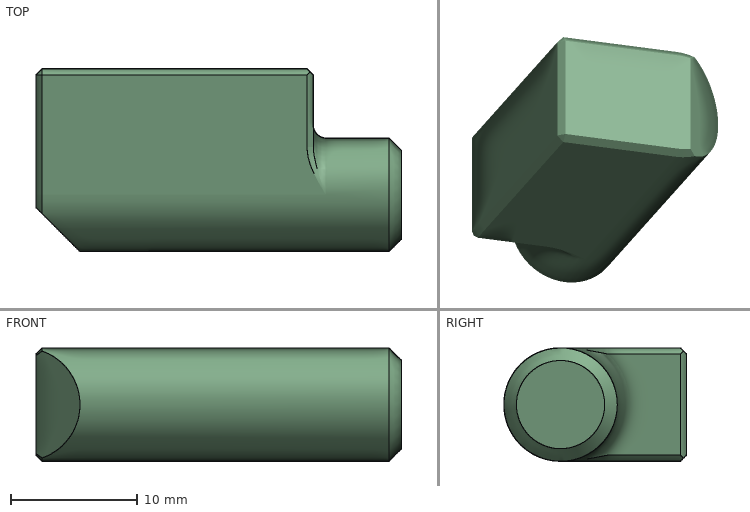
import math

import cadquery as cq

total_length = 29.0
block_length = 22.0
thickness = 9.0
block_side = 10.0
edge_chamfer = 0.5
pin_chamfer = 1.0
neck_radius = 1.0
corner_cut = 3.5
curve_steps = 12
cutter_margin = 1.5

pin_radius = thickness / 2
neck_end = block_length + neck_radius
rim_radius = pin_radius + neck_radius
chamfer_foot_z = pin_radius - edge_chamfer


def make_block():
    """D-shaped bar along X: flat on +Y, full round on -Y, chamfered around both its -X and +Y faces."""
    bar = (
        cq.Workplane("YZ")
        .moveTo(block_side, -pin_radius)
        .lineTo(block_side, pin_radius)
        .lineTo(0, pin_radius)
        .threePointArc((-pin_radius, 0), (0, -pin_radius))
        .close()
        .extrude(block_length)
    )
    return bar.faces("<X or >Y").edges().chamfer(edge_chamfer)


def make_pin():
    """Round pin running out of the block, chamfered at its free end."""
    start = block_length / 2
    pin = cq.Workplane("YZ").workplane(offset=start).circle(pin_radius).extrude(total_length - start)
    return pin.faces(">X").chamfer(pin_chamfer)


def make_neck():
    """Concave collar from the shoulder to the pin, kept within the block thickness and on its +Y side."""
    bend = neck_radius * math.sin(math.pi / 4)
    collar = (
        cq.Workplane("XY")
        .moveTo(block_length, 0)
        .lineTo(block_length, rim_radius)
        .threePointArc((neck_end - bend, rim_radius - bend), (neck_end, pin_radius))
        .lineTo(neck_end, 0)
        .close()
        .revolve(360, (0, 0, 0), (1, 0, 0))
    )
    slab = cq.Workplane("XY").box(total_length, block_side, thickness, centered=(False, False, True))
    return collar.intersect(slab)


def chamfer_section(angle):
    """Corners of the chamfer cutter at one angle around the neck fillet, from shoulder (0) to pin (90 degrees).

    The inner point lies edge_chamfer below both the flat face and the neck surface.
    Its nearest points on those two surfaces are the borders of the chamfer.
    """
    inner_tube = neck_radius + edge_chamfer
    inner_distance = rim_radius - inner_tube * math.sin(angle)
    inner_y = math.sqrt(max(inner_distance**2 - chamfer_foot_z**2, 0))
    inner = cq.Vector(neck_end - inner_tube * math.cos(angle), inner_y, chamfer_foot_z)

    on_flat = cq.Vector(inner.x, inner.y, pin_radius)
    neck_distance = rim_radius - neck_radius * math.sin(angle)
    scale = neck_distance / inner_distance
    on_neck = cq.Vector(neck_end - neck_radius * math.cos(angle), inner.y * scale, inner.z * scale)

    outside = inner + (on_flat - inner + on_neck - inner) * cutter_margin
    return on_flat, on_neck, outside


def make_curved_cutter():
    """Tapering wedge that chamfers the curved edge between the flat face and the neck."""
    angles = [math.pi / 2 * step / curve_steps for step in range(curve_steps + 1)]
    sections = [chamfer_section(angle) for angle in angles]
    flat_edge, neck_edge, outer_edge = [cq.Edge.makeSpline(list(points)) for points in zip(*sections)]
    faces = [
        cq.Face.makeRuledSurface(flat_edge, neck_edge),
        cq.Face.makeRuledSurface(neck_edge, outer_edge),
        cq.Face.makeRuledSurface(outer_edge, flat_edge),
        cq.Face.makeFromWires(cq.Wire.makePolygon(sections[0], close=True)),
    ]
    return cq.Workplane(cq.Solid.makeSolid(cq.Shell.makeShell(faces)))


def make_straight_cutter():
    """Prism that chamfers the straight edge between the flat face and the shoulder."""
    section = chamfer_section(0)
    profile = cq.Wire.makePolygon(section, close=True)
    length = block_side - section[0].y
    return cq.Workplane(cq.Solid.extrudeLinear(profile, [], cq.Vector(0, length, 0)))


def make_corner_cutter():
    """Triangular prism for the 45 degree cut at the -X, -Y corner."""
    overshoot = corner_cut
    return (
        cq.Workplane("XY")
        .moveTo(-overshoot, -pin_radius + corner_cut + overshoot)
        .lineTo(-overshoot, -pin_radius - overshoot)
        .lineTo(corner_cut + overshoot, -pin_radius - overshoot)
        .close()
        .extrude(thickness, both=True)
    )


result = make_block().union(make_pin()).union(make_neck())
for cutter in (make_straight_cutter(), make_curved_cutter()):
    result = result.cut(cutter).cut(cutter.mirror("XY"))
result = result.cut(make_corner_cutter())